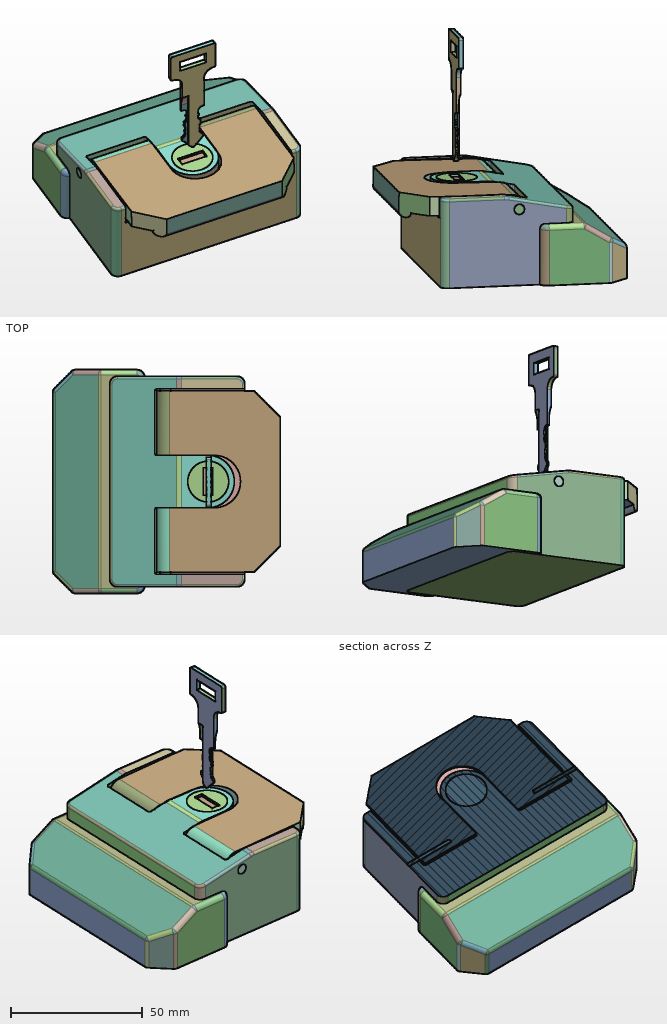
import cadquery as cq
import math


COVER_LENGTH = 35.0
COVER_WIDTH = 85.0
COVER_HEIGHT = 23.6
COVER_FRONT_HEIGHT = 12.9
COVER_RIDGE_X = 17.8
COVER_CORNER_CUT = 7.85
COVER_REAR_RADIUS = 3.2
COVER_EDGE_RADIUS = 2.0

HOUSING_FRONT_X = 21.7
HOUSING_REAR_X = 72.9
HOUSING_WIDTH = 80.0
HOUSING_HEIGHT = 34.6
HOUSING_FRONT_HEIGHT = 29.6
HOUSING_RIDGE_X = 47.8
HOUSING_RIDGE_RADIUS = 10.0
HOUSING_CORNER_RADIUS = 3.0
HOUSING_EDGE_RADIUS = 1.0

LOCK_X = 59.0
LOCK_RADIUS = 7.8
LOCK_DEPTH = 19.9
BOSS_RADIUS = 9.9
KEYWAY_LENGTH = 10.5
KEYWAY_WIDTH = 3.6
KEYWAY_DEPTH = 1.0

PIN_X = 42.9
PIN_Z = 29.5
PIN_RADIUS = 2.0
PIN_LENGTH = 20.0

HASP_FRONT_X = 39.5
HASP_REAR_X = 86.4
HASP_WIDTH = 68.8
HASP_THICKNESS = 7.4
HASP_RISE = 4.5
HASP_CORNER_CUT = 9.9
HASP_HEEL_RADIUS = 4.9
HASP_LIFT_ANGLE = 1.0
HASP_SLOT_CENTRE_X = 61.4
LIP_RADIUS = 2.0

HASP_GAP = 0.7
POCKET_CORNER_RADIUS = 0.7
POCKET_FLOOR_Z = 26.4
PIT_REAR_X = 40.7
PIT_DEPTH = 4.15
PIT_EDGE_RADIUS = 4.1

KEY_X = 59.2
KEY_Y = -0.2
KEY_TOP_Z = 90.25
KEY_THICKNESS = 1.8
KEY_HEAD_HALF_WIDTH = 9.5
KEY_HEAD_BOTTOM_Z = 78.2
KEY_HEAD_CORNER_RADIUS = 0.8
KEY_NECK_RADIUS = 4.0
KEY_SHANK_HALF_WIDTH = 4.6
KEY_SHANK_BOTTOM_Z = 60.3
KEY_BLADE_HALF_WIDTH = 2.1
KEY_SHOULDER_RADIUS = 2.0
KEY_TIP_Z = 40.8
KEY_TIP_HALF_WIDTH = 0.4
KEY_TEETH = [
    (2.1, 57.1),
    (2.6, 56.5),
    (2.1, 55.7),
    (2.1, 55.0),
    (2.4, 54.1),
    (3.25, 53.6),
    (3.0, 52.8),
    (3.3, 51.8),
    (2.7, 51.0),
    (2.7, 49.55),
    (3.1, 48.8),
    (2.7, 48.1),
    (3.1, 46.9),
    (4.2, 45.8),
    (4.2, 44.9),
]
KEY_HOLE_WIDTH = 11.0
KEY_HOLE_HEIGHT = 4.5
KEY_HOLE_Z = 84.1
KEY_STEP_Y = 1.9
KEY_STEP_TOP_Z = 67.7
KEY_STEP_FULL_Z = 63.45

SIDES = (-1, 1)
MARGIN = 0.9
CUT_TOP_Z = HOUSING_HEIGHT + MARGIN


def side_profile(width, points):
    """Prism of the given Y width, centred on Y = 0, from (X, Z) points."""
    return cq.Workplane("XZ").polyline(points).close().extrude(width / 2, both=True)


def block(x_range, y_range, z_range):
    """Axis-aligned box from its limits."""
    sizes = [high - low for low, high in (x_range, y_range, z_range)]
    corner = (x_range[0], y_range[0], z_range[0])
    return cq.Workplane("XY").box(*sizes, centered=False).translate(corner)


def corner_prism(x, y, cut, height):
    """Square prism turned by 45 degrees that cuts a corner at (x, y) back by `cut` along each side."""
    side = math.sqrt(2) * cut
    prism = cq.Workplane("XY").rect(side, side).extrude(height)
    return prism.rotate((0, 0, 0), (0, 0, 1), 45).translate((x, y, 0))


def tongue(centre_x, front_x, bottom_z, height):
    """Bar along X as wide as the boss, ending in a half round about `centre_x`."""
    return (
        cq.Workplane("XY", origin=(0, 0, bottom_z))
        .moveTo(front_x, -BOSS_RADIUS)
        .lineTo(centre_x, -BOSS_RADIUS)
        .threePointArc((centre_x + BOSS_RADIUS, 0), (centre_x, BOSS_RADIUS))
        .lineTo(front_x, BOSS_RADIUS)
        .close()
        .extrude(height)
    )


def make_pin(side):
    """Pin whose outer end is flush with the housing side."""
    outer_y = side * HOUSING_WIDTH / 2
    plane = cq.Plane(origin=(PIN_X, outer_y, PIN_Z), xDir=(1, 0, 0), normal=(0, -side, 0))
    return cq.Workplane(plane).circle(PIN_RADIUS).extrude(PIN_LENGTH)


def lock_top():
    """Workplane at the centre of the lock, level with the top of the housing."""
    return cq.Workplane("XY", origin=(LOCK_X, 0, HOUSING_HEIGHT))


def lock_cylinder():
    """Plain cylinder of the lock, which is also the form of its hole."""
    return lock_top().circle(LOCK_RADIUS).extrude(-LOCK_DEPTH)


def make_lock():
    """Lock cylinder with a shallow keyway in its top."""
    keyway = lock_top().rect(KEYWAY_WIDTH, KEYWAY_LENGTH).extrude(-KEYWAY_DEPTH)
    return lock_cylinder().cut(keyway)


def housing_block():
    """Outer form of the housing with its rounded edges, before any hole or pocket."""
    body = side_profile(
        HOUSING_WIDTH,
        [
            (HOUSING_FRONT_X, 0),
            (HOUSING_REAR_X, 0),
            (HOUSING_REAR_X, HOUSING_HEIGHT),
            (HOUSING_RIDGE_X, HOUSING_HEIGHT),
            (HOUSING_FRONT_X, HOUSING_FRONT_HEIGHT),
        ],
    )
    ridge = cq.selectors.NearestToPointSelector((HOUSING_RIDGE_X, 0, HOUSING_HEIGHT))
    body = body.edges("|Z").fillet(HOUSING_CORNER_RADIUS)
    body = body.edges(ridge).fillet(HOUSING_RIDGE_RADIUS)
    top_edge = body.faces(">Z").edges(">X")
    return top_edge.fillet(HOUSING_EDGE_RADIUS)


def hasp_pocket():
    """Space cut from the housing for the hasp: side gaps, stepped floor, and the boss left standing."""
    front_x = HASP_FRONT_X - HASP_GAP
    half_width = HASP_WIDTH / 2 + HASP_GAP
    pit_floor_z = POCKET_FLOOR_Z - PIT_DEPTH
    pocket = block((front_x, HASP_REAR_X), (-half_width, half_width), (pit_floor_z, CUT_TOP_Z))
    step = block((PIT_REAR_X, HASP_REAR_X), (-half_width, half_width), (pit_floor_z, POCKET_FLOOR_Z))
    step = step.edges("<X and >Z").fillet(PIT_EDGE_RADIUS)
    boss = tongue(LOCK_X, front_x, pit_floor_z, CUT_TOP_Z - pit_floor_z)
    pocket = pocket.cut(boss)
    pocket = pocket.edges("|Z and <X").fillet(POCKET_CORNER_RADIUS)
    return pocket.cut(step)


def make_housing(pins):
    """Housing with the hasp pocket, the blind lock hole and the pin holes."""
    body = housing_block().cut(hasp_pocket()).cut(lock_cylinder())
    for pin in pins:
        body = body.cut(pin)
    return body


def make_cover():
    """Cover with its recess cut to the outer form of the housing."""
    body = side_profile(
        COVER_WIDTH,
        [
            (0, 0),
            (COVER_LENGTH, 0),
            (COVER_LENGTH, COVER_HEIGHT),
            (COVER_RIDGE_X, COVER_HEIGHT),
            (0, COVER_FRONT_HEIGHT),
        ],
    )
    for side in SIDES:
        body = body.cut(corner_prism(0, side * COVER_WIDTH / 2, COVER_CORNER_CUT, COVER_HEIGHT))
    body = body.edges("|Z and >X").fillet(COVER_REAR_RADIUS)
    slope = cq.selectors.NearestToPointSelector(
        (COVER_RIDGE_X / 2, 0, (COVER_HEIGHT + COVER_FRONT_HEIGHT) / 2)
    )
    front_zone = cq.selectors.BoxSelector(
        (-MARGIN, -COVER_WIDTH, 0), (COVER_CORNER_CUT + MARGIN, COVER_WIDTH, COVER_HEIGHT)
    )
    front_uprights = body.edges(front_zone).edges("|Z")
    rounded = front_uprights.add(body.faces(slope).edges()).add(body.faces(">Z").edges())
    body = rounded.fillet(COVER_EDGE_RADIUS)
    return body.cut(housing_block())


def make_hasp(pins):
    """Slotted plate with a rounded heel at the hinge and a rounded lip under its free end."""
    top_z = PIN_Z + HASP_RISE
    bottom_z = top_z - HASP_THICKNESS
    half_width = HASP_WIDTH / 2
    plate = block((HASP_FRONT_X, HASP_REAR_X), (-half_width, half_width), (bottom_z, top_z))
    plate = plate.edges("<X and >Z").fillet(HASP_HEEL_RADIUS)
    lip = (
        cq.Workplane("XZ", origin=(HASP_REAR_X - LIP_RADIUS, 0, bottom_z))
        .circle(LIP_RADIUS)
        .extrude(half_width, both=True)
    )
    plate = plate.union(lip)
    for side in SIDES:
        plate = plate.cut(corner_prism(HASP_REAR_X, side * half_width, HASP_CORNER_CUT, CUT_TOP_Z))
    plate = plate.rotate((PIN_X, 0, PIN_Z), (PIN_X, 1, PIN_Z), -HASP_LIFT_ANGLE)
    plate = plate.cut(tongue(HASP_SLOT_CENTRE_X, 0, 0, CUT_TOP_Z))
    for pin in pins:
        plate = plate.cut(pin)
    return plate


def key_outline():
    """Flat key, symmetric about Y = 0, with a rectangular hole in its head."""
    diagonal = math.sqrt(0.5)
    neck_y = KEY_SHANK_HALF_WIDTH + KEY_NECK_RADIUS
    neck_z = KEY_HEAD_BOTTOM_Z - KEY_NECK_RADIUS
    shoulder_y = KEY_BLADE_HALF_WIDTH + KEY_SHOULDER_RADIUS
    shoulder_z = KEY_SHANK_BOTTOM_Z - KEY_SHOULDER_RADIUS

    def halfway(y, z, radius):
        return (y - radius * diagonal, z + radius * diagonal)

    half = (
        cq.Workplane("YZ")
        .moveTo(0, KEY_TOP_Z)
        .lineTo(KEY_HEAD_HALF_WIDTH, KEY_TOP_Z)
        .lineTo(KEY_HEAD_HALF_WIDTH, KEY_HEAD_BOTTOM_Z)
        .lineTo(neck_y, KEY_HEAD_BOTTOM_Z)
        .threePointArc(halfway(neck_y, neck_z, KEY_NECK_RADIUS), (KEY_SHANK_HALF_WIDTH, neck_z))
        .lineTo(KEY_SHANK_HALF_WIDTH, KEY_SHANK_BOTTOM_Z)
        .lineTo(shoulder_y, KEY_SHANK_BOTTOM_Z)
        .threePointArc(
            halfway(shoulder_y, shoulder_z, KEY_SHOULDER_RADIUS), (KEY_BLADE_HALF_WIDTH, shoulder_z)
        )
    )
    for half_width, z in KEY_TEETH:
        half = half.lineTo(half_width, z)
    half = half.lineTo(KEY_TIP_HALF_WIDTH, KEY_TIP_Z).lineTo(0, KEY_TIP_Z).close()
    half = half.extrude(KEY_THICKNESS / 2, both=True)
    head_corners = cq.selectors.BoxSelector(
        (-KEY_THICKNESS, KEY_HEAD_HALF_WIDTH - MARGIN / 2, KEY_HEAD_BOTTOM_Z - MARGIN),
        (KEY_THICKNESS, KEY_HEAD_HALF_WIDTH + MARGIN, KEY_TOP_Z + MARGIN),
    )
    half = half.edges("|X").edges(head_corners).fillet(KEY_HEAD_CORNER_RADIUS)
    hole = cq.Workplane("XY").box(2 * KEY_THICKNESS, KEY_HOLE_WIDTH, KEY_HOLE_HEIGHT)
    return half.union(half.mirror("XZ")).cut(hole.translate((0, 0, KEY_HOLE_Z)))


def key_step():
    """Half-thickness recess along the +Y edge of the -X face, with a curved run-out at its top."""
    depth = KEY_THICKNESS / 2
    face_x = -depth
    run_out = KEY_STEP_TOP_Z - KEY_STEP_FULL_Z
    radius = (depth**2 + run_out**2) / (2 * depth)
    half_angle = math.asin(run_out / radius) / 2
    middle = (
        -radius * (1 - math.cos(half_angle)),
        KEY_STEP_FULL_Z + radius * math.sin(half_angle),
    )
    return (
        cq.Workplane("XZ", origin=(0, KEY_STEP_Y, 0))
        .moveTo(face_x, KEY_STEP_TOP_Z)
        .threePointArc(middle, (0, KEY_STEP_FULL_Z))
        .lineTo(0, 0)
        .lineTo(face_x, 0)
        .close()
        .extrude(-KEY_HEAD_HALF_WIDTH)
    )


def make_key():
    """Key with one step on each face, opposite each other about the key axis."""
    key = key_outline()
    step = key_step()
    for angle in (0, 180):
        key = key.cut(step.rotate((0, 0, 0), (0, 0, 1), angle))
    return key.translate((KEY_X, KEY_Y, 0))


pins = [make_pin(side) for side in SIDES]
lock = make_lock()
housing = make_housing(pins)
cover = make_cover()
hasp = make_hasp(pins)
key = make_key()

bodies = [cover, housing, hasp, lock, key, *pins]
result = cq.Compound.makeCompound([body.solids().val() for body in bodies])